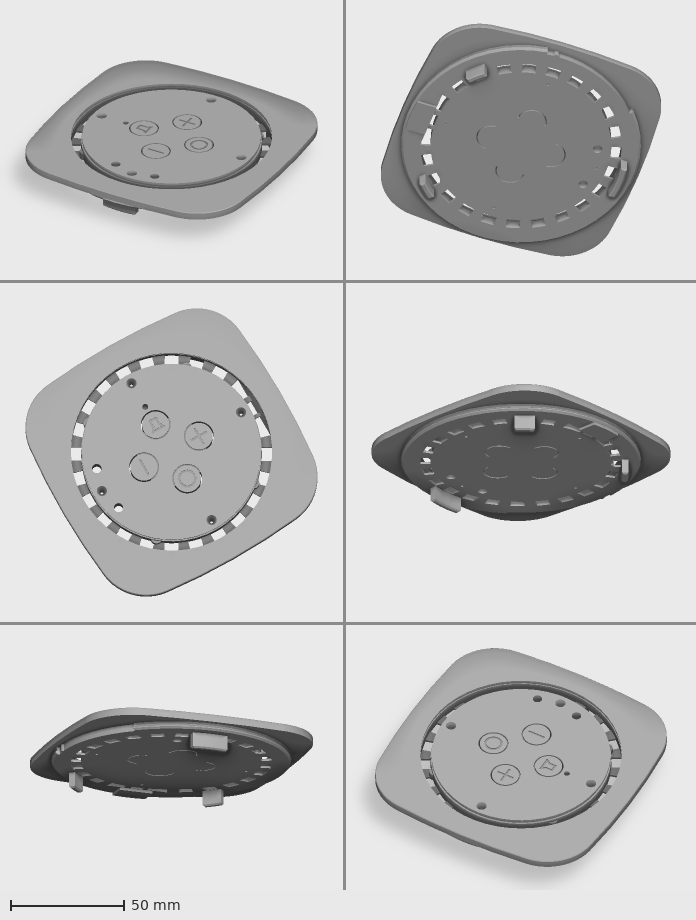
import cadquery as cq
import math

PLATE_BOTTOM = -3.4
RING_BOTTOM = -6.6
FOOT_BOTTOM = -13.5
BLOCK_BOTTOM = -7.8
TAB_THICKNESS = 1.0
TAB_TOP = RING_BOTTOM + TAB_THICKNESS

PLATE_HALF = 55.0
SIDE_RADIUS = 308.0
CORNER_RADIUS = 23.1
PLATE_CHAMFER = 0.3
OPENING_RADIUS = 88.8 / 2

GROOVE_RECESS = 0.4
GROOVE_TOP = -1.0
GROOVE_BOTTOM = -2.0

LIP_RADIUS = 52.9
LIP_TOP = PLATE_BOTTOM - 2.0
LIP_BOTTOM = PLATE_BOTTOM - 2.3
NECK_RADIUS = 51.9
NECK_TOP = PLATE_BOTTOM - 0.8
NECK_BOTTOM = PLATE_BOTTOM - 1.2
RING_TOP_RADIUS = 52.6
RING_FOOT_RADIUS = 52.0
LIP_GAP_RADIUS = 50.9
LIP_GAP_START = 173.2
LIP_GAP_END = 230.0
DETENT_RADIUS = 1.5
DETENT_ANGLE = 178.2

DISC_TOP_RADIUS = 79.0 / 2
DISC_RADIUS = 79.8 / 2
NUB_RADIUS = 5.0 / 2
NUB_TOP = -3.2
NUB_X = 29.7
NUB_Y = 24.8

WINDOW_COUNT = 24
WINDOW_WIDTH = 6.0
RAMP_Y = 42.1
RAMP_OVERLAP = 1.1
TAB_TRIMS = [(-11.0, -5.6), (4.7, 11.0)]
CUT_MARGIN = 1.1

FOOT_INNER_RADIUS = 44.7
FOOT_OUTER_RADIUS = 47.5
FOOT_CHAMFER = 0.7
FRONT_FOOT_WIDTH = 16.4
BACK_FOOT_WIDTH = 8.9

BLOCK_WIDTH = 15.4
BLOCK_FRONT_Y = 42.4
BLOCK_RADIUS = 51.9

SCREW_OFFSET = 35.4
SCREW_CONE_DIAMETER = 4.5
SCREW_HOLE_DIAMETER = 1.3
SCREW_CONE_DEPTH = 4.4
SENSOR_HOLES = [(-9.9, -32.3, 4.2), (10.1, -32.8, 4.1)]
LIGHT_X = -23.2
LIGHT_DIAMETER = 2.6
LIGHT_DEPTH = 3.3

BUTTON_OFFSET = 14.0
BUTTON_GAP_DIAMETER = 13.2
BUTTON_DIAMETER = 12.0
BUTTON_GROOVE_DEPTH = 1.0
SYMBOL_DEPTH = 0.5
SYMBOL_LENGTH = 8.0
SYMBOL_STROKE = 1.0
POWER_OUTER_DIAMETER = 8.0
POWER_INNER_DIAMETER = 6.0
SPEAKER_OUTER = (-3.1, 0.2, 2.8, 2.0, 3.5)
SPEAKER_INNER = (-2.1, 0.5, 1.8, 1.0, 1.9)


def cylinder(radius, top, bottom):
    return cq.Workplane("XY").workplane(offset=bottom).circle(radius).extrude(top - bottom)


def tube(outer, inner, top, bottom):
    return cylinder(outer, top, bottom).cut(cylinder(inner, top, bottom))


def box(x_range, y_range, top, bottom):
    (x0, x1), (y0, y1) = x_range, y_range
    size = (x1 - x0, y1 - y0, top - bottom)
    return cq.Workplane("XY").box(*size, centered=False).translate((x0, y0, bottom))


def turned(body, angle):
    return body.rotate((0, 0, 0), (0, 0, 1), angle)


def polar(radius, angle):
    return (radius * math.cos(math.radians(angle)), radius * math.sin(math.radians(angle)))


def make_plate():
    side_shift = SIDE_RADIUS - PLATE_HALF
    gap = SIDE_RADIUS - CORNER_RADIUS
    c = (math.sqrt(2 * gap**2 - side_shift**2) - side_shift) / 2
    join_angle = math.degrees(math.atan2(c, c + side_shift))
    join_x, join_y = polar(SIDE_RADIUS, join_angle)
    join_x -= side_shift
    corner = c + CORNER_RADIUS / math.sqrt(2)

    outline = cq.Workplane("XY").workplane(offset=PLATE_BOTTOM).moveTo(join_x, -join_y)
    for turn in range(4):
        points = [(PLATE_HALF, 0), (join_x, join_y), (corner, corner), (join_y, join_x)]
        for _ in range(turn):
            points = [(-y, x) for x, y in points]
        outline = outline.threePointArc(points[0], points[1]).threePointArc(points[2], points[3])
    plate = outline.close().extrude(-PLATE_BOTTOM).faces(">Z").edges().chamfer(PLATE_CHAMFER)
    groove = cylinder(OPENING_RADIUS + GROOVE_RECESS, GROOVE_TOP, GROOVE_BOTTOM)
    return plate.cut(cylinder(OPENING_RADIUS, 0, PLATE_BOTTOM)).cut(groove)


def make_ring():
    profile = [
        (OPENING_RADIUS, PLATE_BOTTOM),
        (RING_TOP_RADIUS, PLATE_BOTTOM),
        (NECK_RADIUS, NECK_TOP),
        (NECK_RADIUS, NECK_BOTTOM),
        (LIP_RADIUS, LIP_TOP),
        (LIP_RADIUS, LIP_BOTTOM),
        (RING_FOOT_RADIUS, RING_BOTTOM),
        (OPENING_RADIUS, RING_BOTTOM),
    ]
    ring = cq.Workplane("XZ").polyline(profile).close().revolve(360, (0, 0, 0), (0, 1, 0))

    middle = (LIP_GAP_START + LIP_GAP_END) / 2
    gap = cq.Workplane("XY").workplane(offset=RING_BOTTOM)
    gap = gap.moveTo(*polar(LIP_GAP_RADIUS, LIP_GAP_START))
    gap = gap.threePointArc(polar(LIP_GAP_RADIUS, middle), polar(LIP_GAP_RADIUS, LIP_GAP_END))
    gap = gap.lineTo(*polar(PLATE_HALF, LIP_GAP_END))
    gap = gap.threePointArc(polar(PLATE_HALF, middle), polar(PLATE_HALF, LIP_GAP_START))
    gap = gap.close().extrude(PLATE_BOTTOM - RING_BOTTOM)
    detent_x, detent_y = polar(LIP_GAP_RADIUS - DETENT_RADIUS / 2, DETENT_ANGLE)
    detent = cylinder(DETENT_RADIUS, PLATE_BOTTOM, RING_BOTTOM).translate((detent_x, detent_y, 0))
    return ring.cut(gap).union(detent)


def make_tabs():
    tabs = tube(OPENING_RADIUS, DISC_RADIUS, TAB_TOP, RING_BOTTOM)
    half = WINDOW_WIDTH / 2
    window_span = (DISC_RADIUS - CUT_MARGIN, OPENING_RADIUS + CUT_MARGIN)
    window = box(window_span, (-half, half), TAB_TOP, RING_BOTTOM)
    for i in range(WINDOW_COUNT):
        tabs = tabs.cut(turned(window, i * 360 / WINDOW_COUNT))
    for x_range in TAB_TRIMS:
        tabs = tabs.cut(box(x_range, (0, OPENING_RADIUS), TAB_TOP, RING_BOTTOM))
    return tabs


def make_ramp():
    root_radius = OPENING_RADIUS + RAMP_OVERLAP
    profile = [
        (RAMP_Y, RING_BOTTOM),
        (OPENING_RADIUS, PLATE_BOTTOM),
        (root_radius, PLATE_BOTTOM),
        (root_radius, RING_BOTTOM),
    ]
    ramp = cq.Workplane("YZ").polyline(profile).close().extrude(OPENING_RADIUS, both=True)
    return ramp.intersect(cylinder(root_radius, 0, RING_BOTTOM))


def make_disc():
    groove_radius = DISC_TOP_RADIUS - GROOVE_RECESS
    disc = cylinder(DISC_RADIUS, GROOVE_BOTTOM, RING_BOTTOM)
    disc = disc.union(cylinder(groove_radius, GROOVE_TOP, GROOVE_BOTTOM))
    disc = disc.union(cylinder(DISC_TOP_RADIUS, 0, GROOVE_TOP))
    for x in (-NUB_X, NUB_X):
        for y in (-NUB_Y, NUB_Y):
            disc = disc.union(cylinder(NUB_RADIUS, NUB_TOP, RING_BOTTOM).translate((x, y, 0)))
    return disc


def make_foot(width, angle):
    foot = tube(FOOT_OUTER_RADIUS, FOOT_INNER_RADIUS, PLATE_BOTTOM, FOOT_BOTTOM)
    foot = foot.intersect(box((0, PLATE_HALF), (-width / 2, width / 2), PLATE_BOTTOM, FOOT_BOTTOM))
    return turned(foot.faces("<Z").edges().chamfer(FOOT_CHAMFER), angle)


def make_block():
    half = BLOCK_WIDTH / 2
    block = box((-half, half), (BLOCK_FRONT_Y, PLATE_HALF), PLATE_BOTTOM, BLOCK_BOTTOM)
    block = block.cut(cylinder(OPENING_RADIUS, PLATE_BOTTOM, RING_BOTTOM))
    return block.intersect(cylinder(BLOCK_RADIUS, PLATE_BOTTOM, BLOCK_BOTTOM))


def make_screw_hole():
    cone = cq.Solid.makeCone(
        SCREW_HOLE_DIAMETER / 2,
        SCREW_CONE_DIAMETER / 2,
        SCREW_CONE_DEPTH,
        pnt=cq.Vector(SCREW_OFFSET, 0, -SCREW_CONE_DEPTH),
    )
    hole = cylinder(SCREW_HOLE_DIAMETER / 2, 0, RING_BOTTOM).translate((SCREW_OFFSET, 0, 0))
    return hole.union(cq.Workplane(cone))


def make_light_hole():
    hole = cylinder(LIGHT_DIAMETER / 2, 0, -LIGHT_DEPTH)
    floor = cq.Workplane("XY").sphere(LIGHT_DIAMETER / 2).translate((0, 0, -LIGHT_DEPTH))
    return hole.union(floor).translate((LIGHT_X, 0, 0))


def make_button_gap():
    groove = tube(BUTTON_GAP_DIAMETER / 2, BUTTON_DIAMETER / 2, 0, -BUTTON_GROOVE_DEPTH)
    slot = tube(BUTTON_GAP_DIAMETER / 2, BUTTON_DIAMETER / 2, 0, RING_BOTTOM)
    side_range = (-BUTTON_GAP_DIAMETER, BUTTON_GAP_DIAMETER)
    slot = slot.intersect(box((0, BUTTON_GAP_DIAMETER), side_range, 0, RING_BOTTOM))
    return groove.union(slot).translate((BUTTON_OFFSET, 0, 0))


def make_symbols():
    half_length = SYMBOL_LENGTH / 2
    half_stroke = SYMBOL_STROKE / 2
    bar = box((-half_length, half_length), (-half_stroke, half_stroke), 0, -SYMBOL_DEPTH)
    plus = bar.union(turned(bar, 90)).translate((0, BUTTON_OFFSET, 0))
    minus = bar.translate((0, -BUTTON_OFFSET, 0))
    power = tube(POWER_OUTER_DIAMETER / 2, POWER_INNER_DIAMETER / 2, 0, -SYMBOL_DEPTH)
    power = power.translate((BUTTON_OFFSET, 0, 0))

    def horn(back, neck, mouth, body_half, mouth_half):
        upper = [(back, body_half), (neck, body_half), (mouth, mouth_half)]
        lower = [(x, -y) for x, y in reversed(upper)]
        return cq.Workplane("XY").polyline(upper + lower).close().extrude(-SYMBOL_DEPTH)

    speaker = horn(*SPEAKER_OUTER).cut(horn(*SPEAKER_INNER))
    speaker = speaker.translate((-BUTTON_OFFSET, 0, 0))
    return [plus, minus, power, speaker]


body = make_plate().union(make_ring()).union(make_ramp()).union(make_tabs()).union(make_disc())
body = body.union(make_block())
for foot_width, foot_angle in [(FRONT_FOOT_WIDTH, -90), (BACK_FOOT_WIDTH, 45), (BACK_FOOT_WIDTH, 135)]:
    body = body.union(make_foot(foot_width, foot_angle))

for quarter in range(4):
    body = body.cut(turned(make_screw_hole(), 90 * quarter))
    body = body.cut(turned(make_button_gap(), 90 * quarter))
for symbol in make_symbols():
    body = body.cut(symbol)
for hole_x, hole_y, hole_diameter in SENSOR_HOLES:
    body = body.cut(cylinder(hole_diameter / 2, 0, RING_BOTTOM).translate((hole_x, hole_y, 0)))
body = body.cut(make_light_hole())

result = body